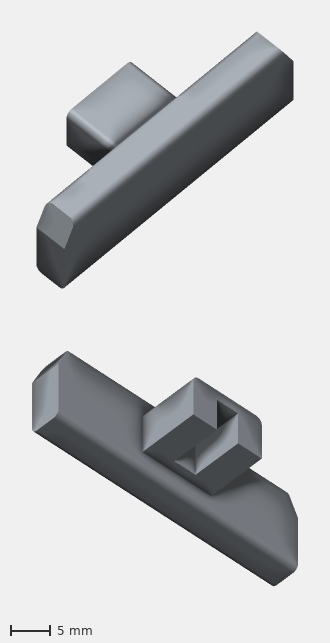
import cadquery as cq

plate_thickness = 5.0
plate_length = 42.0
plate_height = 13.0
edge_radius = 1.0
end_slope_run = 2.0
end_slope_drop = 4.0

stub_length = 9.5
stub_width = 12.0
stub_height = 7.0
stub_bottom = 3.0
stub_offset_y = 0.25

slot_width = 3.7
slot_height = 5.3
slot_depth = 8.0


def make_plate():
    """Plate with rounded long edges and sloped upper ends; its -X face lies on X = 0."""
    bar = (
        cq.Workplane("XY")
        .box(plate_thickness, plate_length, plate_height, centered=(False, True, False))
        .edges("|Y")
        .fillet(edge_radius)
    )
    half_length = plate_length / 2
    shoulder_z = plate_height - end_slope_drop
    outline = (
        cq.Workplane("YZ")
        .moveTo(-half_length, 0)
        .lineTo(half_length, 0)
        .lineTo(half_length, shoulder_z)
        .lineTo(half_length - end_slope_run, plate_height)
        .lineTo(-half_length + end_slope_run, plate_height)
        .lineTo(-half_length, shoulder_z)
        .close()
        .extrude(plate_thickness)
    )
    return bar.intersect(outline)


def make_stub():
    """Slotted block with rounded upper edges, ending on the plate's -X face."""
    block = (
        cq.Workplane("XY")
        .box(stub_length, stub_width, stub_height, centered=(False, True, False))
        .edges("|X and >Z")
        .fillet(edge_radius)
    )
    slot = cq.Workplane("XY").box(slot_depth, slot_width, slot_height, centered=(False, True, False))
    return block.cut(slot).translate((-stub_length, stub_offset_y, stub_bottom))


result = make_plate().union(make_stub())